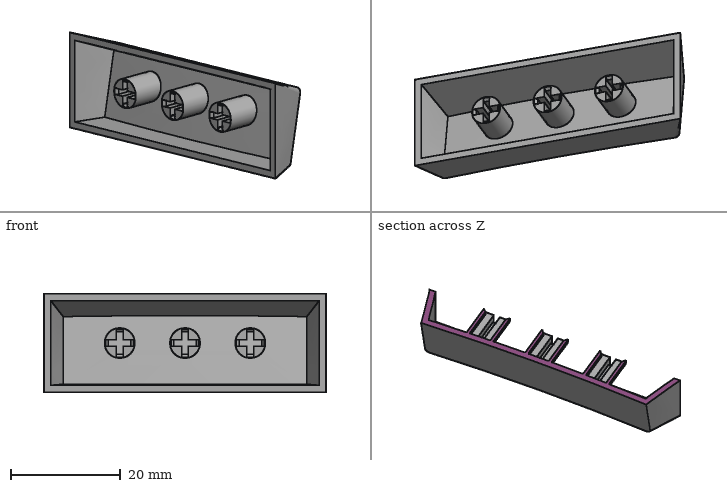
import cadquery as cq
import math

RIM_WIDTH = 51.5
RIM_HEIGHT = 18.0
RIM_WALL = 1.3
RIM_CORNER_RADIUS = 0.02

FACE_WIDTH = 46.2
FACE_TOP_Y = 9.64
FACE_TOP_Z = 5.7
FACE_BOTTOM_Y = 6.75
FACE_BOTTOM_Z = -8.8
FACE_CORNER_RADIUS = 0.95

DISH_DEPTH = 0.6
FACE_THICKNESS = 1.35

FLOOR_WIDTH = 44.4
FLOOR_TOP_Z = 4.8
FLOOR_BOTTOM_Z = -7.5

STEM_COUNT = 3
STEM_PITCH = 11.9
STEM_DIAMETER = 5.5
CROSS_LENGTH = 4.1
CROSS_ARM_THICKNESS = 1.2
CROSS_LEAD_IN = 0.5

FACE_RISE = FACE_TOP_Y - FACE_BOTTOM_Y
FACE_DROP = FACE_TOP_Z - FACE_BOTTOM_Z
TILT = math.atan2(FACE_RISE, FACE_DROP)
FACE_NORMAL = cq.Vector(0, math.cos(TILT), -math.sin(TILT))
FACE_CENTER = cq.Vector(0, (FACE_TOP_Y + FACE_BOTTOM_Y) / 2, (FACE_TOP_Z + FACE_BOTTOM_Z) / 2)
DISH_RADIUS = ((FACE_WIDTH / 2) ** 2 + DISH_DEPTH**2) / (2 * DISH_DEPTH)
X_AXIS = cq.Vector(1, 0, 0)
SLOPE_AXIS = FACE_NORMAL.cross(X_AXIS)
RIM_PLANE = cq.Plane(origin=(0, 0, 0), xDir=(1, 0, 0), normal=(0, 1, 0))


def tilted_plane(center):
    """Plane through a point, parallel to the touch face."""
    return cq.Plane(origin=center.toTuple(), xDir=(1, 0, 0), normal=FACE_NORMAL.toTuple())


def rectangle_wire(plane, width, height, corner_radius=0):
    """Rectangle centred on a plane, with rounded corners if a radius is given."""
    outline = cq.Workplane(plane).rect(width, height).val()
    if corner_radius:
        outline = outline.fillet2D(corner_radius, outline.Vertices())
    return outline


def tapered_block(start_wire, end_wire):
    """Solid with straight walls running from one outline to the other."""
    return cq.Workplane(obj=cq.Solid.makeLoft([start_wire, end_wire], True))


def dish_cylinder(radius):
    """Large cylinder running along the slope of the touch face."""
    length = 2 * RIM_HEIGHT
    center = FACE_CENTER + FACE_NORMAL * (DISH_RADIUS - DISH_DEPTH)
    start = center - SLOPE_AXIS * (length / 2)
    return cq.Workplane(obj=cq.Solid.makeCylinder(radius, length, start, SLOPE_AXIS))


def outer_body():
    """Tapered shell outside, its corners growing rounder toward the dished touch face."""
    rim = rectangle_wire(RIM_PLANE, RIM_WIDTH, RIM_HEIGHT, RIM_CORNER_RADIUS)
    slope_length = math.hypot(FACE_RISE, FACE_DROP)
    face = rectangle_wire(tilted_plane(FACE_CENTER), FACE_WIDTH, slope_length, FACE_CORNER_RADIUS)
    return tapered_block(rim, face).cut(dish_cylinder(DISH_RADIUS))


def cavity():
    """Sharp-cornered tapered hollow whose floor follows the dish at the face thickness."""
    opening = rectangle_wire(RIM_PLANE, RIM_WIDTH - 2 * RIM_WALL, RIM_HEIGHT - 2 * RIM_WALL)
    floor_z = (FLOOR_TOP_Z + FLOOR_BOTTOM_Z) / 2
    floor_y = FACE_CENTER.y + (floor_z - FACE_CENTER.z) * math.tan(TILT) - FACE_THICKNESS / math.cos(TILT)
    slope_length = (FLOOR_TOP_Z - FLOOR_BOTTOM_Z) / math.cos(TILT)
    floor = rectangle_wire(tilted_plane(cq.Vector(0, floor_y, floor_z)), FLOOR_WIDTH, slope_length)
    return tapered_block(opening, floor).cut(dish_cylinder(DISH_RADIUS + FACE_THICKNESS))


def cross_arm(size_x, size_z, lead_in_x, lead_in_z):
    """Slot along Y, widening toward the mouth by the lead-in at its two ends."""
    slot = cq.Workplane(RIM_PLANE).rect(size_x, size_z).extrude(FACE_TOP_Y)
    mouth = rectangle_wire(RIM_PLANE, size_x + 2 * lead_in_x, size_z + 2 * lead_in_z)
    throat = rectangle_wire(RIM_PLANE, size_x, size_z).translate((0, CROSS_LEAD_IN, 0))
    return slot.union(tapered_block(mouth, throat))


def stem():
    """Post with a cross socket, long enough to pass through the cavity floor."""
    post = cq.Workplane(RIM_PLANE).circle(STEM_DIAMETER / 2).extrude(FACE_TOP_Y)
    arm_x = cross_arm(CROSS_LENGTH, CROSS_ARM_THICKNESS, CROSS_LEAD_IN, 0)
    arm_z = cross_arm(CROSS_ARM_THICKNESS, CROSS_LENGTH, 0, CROSS_LEAD_IN)
    return post.cut(arm_x).cut(arm_z)


hollow = cavity()
for index in range(STEM_COUNT):
    stem_x = (index - (STEM_COUNT - 1) / 2) * STEM_PITCH
    hollow = hollow.cut(stem().translate((stem_x, 0, 0)))

result = outer_body().cut(hollow)